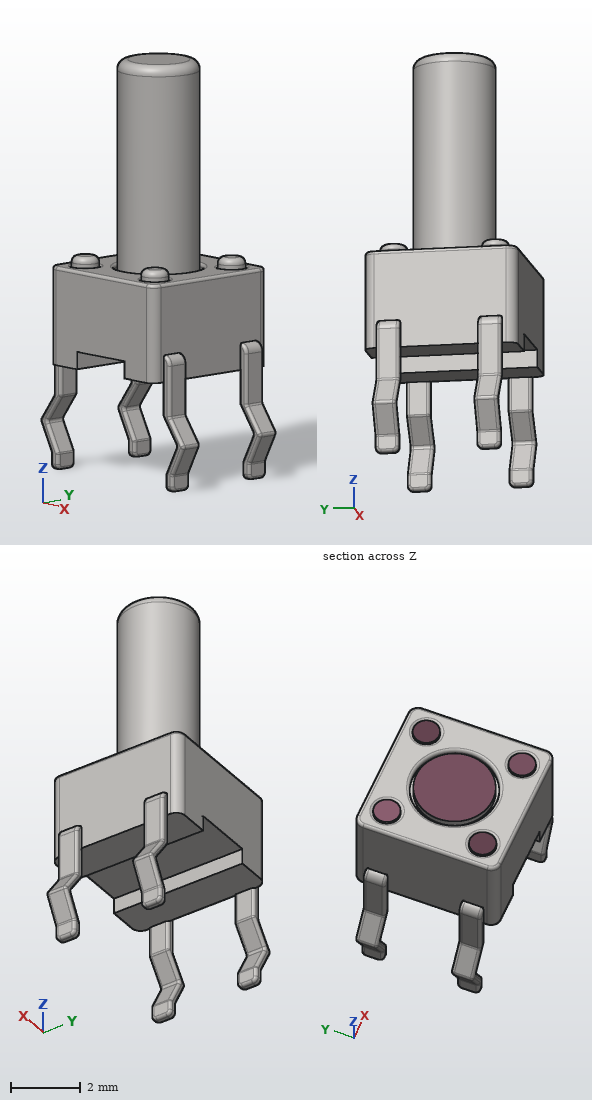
import cadquery as cq

TOTAL_HEIGHT = 12.2

HOUSING_SIDE = 4.5
HOUSING_HEIGHT = 2.9
CORNER_RADIUS = 0.3
RIM_RADIUS = 0.1
RECESS_DEPTH = 0.2
RECESS_FLOOR = HOUSING_HEIGHT - RECESS_DEPTH
NOTCH_WIDTH = 2.03
NOTCH_HEIGHT = 0.51

BUTTON_RECESS_DIAMETER = 2.6
BUTTON_DIAMETER = 2.4
BUTTON_TOP = 9.0
BUTTON_TOP_RADIUS = 0.3

PITCH = 3.0
STUD_DIAMETER = 0.8
STUD_PROTRUSION = 0.3
STUD_TOP_RADIUS = 0.2

LEG_WIDTH = 0.7
LEG_THICKNESS = 0.3
LEG_OUTER_X = 2.5
LEG_TOP = 0.8
UPPER_BEND_Z = -1.0
KNEE_OUTER_X = 3.1
KNEE_Z = -1.8
LOWER_BEND_Z = -2.7
FOOT_OUTER_X = 2.62
LEG_BOTTOM = BUTTON_TOP - TOTAL_HEIGHT
SHOULDER_RADIUS = 0.29
BEND_RADIUS = 0.11
TIP_CORNER_RADIUS = 0.17
LEG_EDGE_RADIUS = 0.1

HALF_PITCH = PITCH / 2
CORNER_SPOTS = [(x, y) for x in (-HALF_PITCH, HALF_PITCH) for y in (-HALF_PITCH, HALF_PITCH)]


def make_leg(side, y):
    """One leg; side is +1 for the +X side of the housing and -1 for the -X side."""
    outer_line = [
        (LEG_OUTER_X, LEG_TOP),
        (LEG_OUTER_X, UPPER_BEND_Z),
        (KNEE_OUTER_X, KNEE_Z),
        (FOOT_OUTER_X, LOWER_BEND_Z),
        (FOOT_OUTER_X, LEG_BOTTOM),
    ]
    inner_line = [(x - LEG_THICKNESS, z) for x, z in reversed(outer_line)]
    leg = cq.Workplane("XZ").polyline(outer_line + inner_line).close().extrude(LEG_WIDTH / 2, both=True)
    leg = leg.edges("|Y").edges("not (>Z or <Z)").fillet(BEND_RADIUS)
    leg = leg.faces(">Z").edges(">X").fillet(SHOULDER_RADIUS)
    leg = leg.faces("<Z").edges("|X").fillet(TIP_CORNER_RADIUS)
    leg = leg.faces("<Y or >Y or <Z").edges("not >Z").fillet(LEG_EDGE_RADIUS)
    if side < 0:
        leg = leg.mirror("YZ")
    return leg.translate((0, y, 0)).val().Solids()[0]


def make_stud(x, y):
    """A round-topped pin rising from its recess floor."""
    stud = cq.Workplane(origin=(x, y, RECESS_FLOOR)).circle(STUD_DIAMETER / 2)
    stud = stud.extrude(RECESS_DEPTH + STUD_PROTRUSION)
    return stud.faces(">Z").edges().fillet(STUD_TOP_RADIUS).val()


def make_button():
    """A plain cylinder rising from the floor of the central recess."""
    button = cq.Workplane(origin=(0, 0, RECESS_FLOOR)).circle(BUTTON_DIAMETER / 2)
    button = button.extrude(BUTTON_TOP - RECESS_FLOOR)
    return button.faces(">Z").edges().fillet(BUTTON_TOP_RADIUS).val()


def make_housing(legs):
    """The block, with its recesses and notch, cut back where the legs sit in its sides."""
    base_centered = (True, True, False)
    housing = cq.Workplane().box(HOUSING_SIDE, HOUSING_SIDE, HOUSING_HEIGHT, centered=base_centered)
    housing = housing.edges("|Z").fillet(CORNER_RADIUS)

    recesses = cq.Workplane(origin=(0, 0, RECESS_FLOOR)).circle(BUTTON_RECESS_DIAMETER / 2)
    recesses = recesses.pushPoints(CORNER_SPOTS).circle(STUD_DIAMETER / 2).extrude(RECESS_DEPTH)
    housing = housing.cut(recesses)
    housing = housing.faces(">Z").edges().fillet(RIM_RADIUS)

    notch = cq.Workplane().box(NOTCH_WIDTH, HOUSING_SIDE, NOTCH_HEIGHT, centered=base_centered)
    housing = housing.cut(notch)

    for leg in legs:
        housing = housing.cut(cq.Workplane(leg))
    return housing.val()


legs = [make_leg(side, y) for side in (-1, 1) for y in (-HALF_PITCH, HALF_PITCH)]
studs = [make_stud(x, y) for x, y in CORNER_SPOTS]
button = make_button()
housing = make_housing(legs)

result = cq.Compound.makeCompound([housing, button, *studs, *legs])